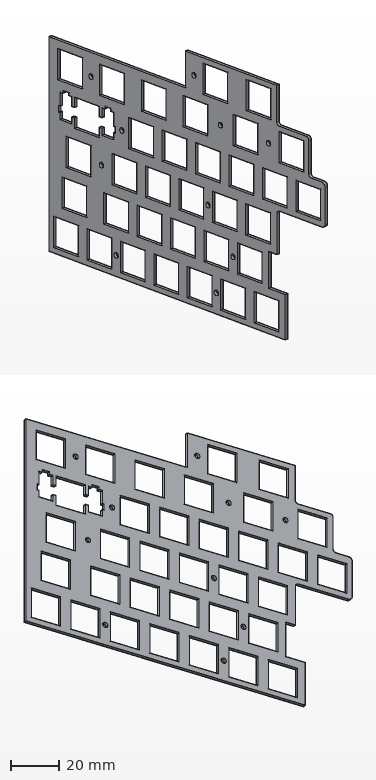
import cadquery as cq

length = 157.5
thickness = 1.5
height = 113.2

key_unit = 19.0
key_opening = 14.0
half_unit = key_unit / 2
side_margin = 0.2
row_heights = [half_unit + row * key_unit for row in range(5)] + [height - half_unit]

row_key_widths = [
    [1] * 7,
    [1.5] + [1] * 5,
    [1.75] + [1] * 5,
    [2.25] + [1] * 6,
    [1.25] * 4 + [1.75, 1],
]
wide_key_row = 3
top_row_keys = [94.8, 119.5]

top_block_left = 77.8
top_block_right = 130.0
shoulder_height = 96.7
fifth_row_right = 148.2
fifth_row_top = 5 * key_unit
fourth_row_top = 77.3
fourth_row_bottom = 57.0
third_row_right = 130.1
second_row_right = 125.4
second_row_top = 37.0
bottom_row_right = 134.8
bottom_row_top = 20.5
step_radius = 1.4
end_radius = 1.9

stabilizer_spacing = 24.0
stabilizer_width = 6.6
stabilizer_top = 6.8
stabilizer_bottom = -5.5
clip_notch_width = 3.3
clip_notch_top = 8.0
side_notch_depth = 0.87
side_notch_top = 0.5
bridge_half_height = 2.4

screw_diameter = 2.4
top_row_screw = 82.7
wide_key_screw = 41.6


def key_centres(widths):
    """X positions of the key centres of a row of keys laid side by side."""
    centres = []
    left = side_margin
    for width in widths:
        centres.append(left + width * half_unit)
        left += width * key_unit
    return centres


def midway(centres, left_key):
    """X position halfway between a key and its right neighbour."""
    return (centres[left_key] + centres[left_key + 1]) / 2


def block(left, right, bottom, top):
    """Box through the full plate thickness."""
    corner = cq.Workplane("XY", origin=(left, 0, bottom))
    return corner.box(right - left, thickness, top - bottom, centered=False)


def make_plate():
    outline = [
        (0, 0),
        (bottom_row_right, 0),
        (bottom_row_right, bottom_row_top),
        (second_row_right, bottom_row_top),
        (second_row_right, second_row_top),
        (third_row_right, second_row_top),
        (third_row_right, fourth_row_bottom),
        (length, fourth_row_bottom),
        (length, fourth_row_top),
        (fifth_row_right, fourth_row_top),
        (fifth_row_right, fifth_row_top),
        (top_block_right, fifth_row_top),
        (top_block_right, height),
        (top_block_left, height),
        (top_block_left, shoulder_height),
        (0, shoulder_height),
    ]
    rounded_corners = [
        (third_row_right, fourth_row_bottom, step_radius),
        (length, fourth_row_bottom, end_radius),
        (length, fourth_row_top, end_radius),
        (fifth_row_right, fourth_row_top, step_radius),
        (fifth_row_right, fifth_row_top, step_radius),
        (top_block_right, fifth_row_top, step_radius),
    ]
    plate = cq.Workplane("XZ").polyline(outline).close().extrude(-thickness)
    for x, z, radius in rounded_corners:
        corner = cq.NearestToPointSelector((x, thickness / 2, z))
        plate = plate.edges("|Y").edges(corner).fillet(radius)
    return plate


def make_stabilizer_opening(x, z):
    """Two stabilizer pockets, mirrored about the key, joined by a bridge slot."""
    outer = stabilizer_spacing / 2 + stabilizer_width / 2
    bridge_bottom = z - bridge_half_height
    bridge_top = z + bridge_half_height
    pocket_bottom = z + stabilizer_bottom
    pocket_top = z + stabilizer_top
    opening = block(x - outer, x + outer, bridge_bottom, bridge_top)
    for side in (-1, 1):
        pocket_x = x + side * stabilizer_spacing / 2
        pocket_left = pocket_x - stabilizer_width / 2
        pocket_right = pocket_x + stabilizer_width / 2
        notch_left = pocket_x - clip_notch_width / 2
        notch_right = pocket_x + clip_notch_width / 2
        opening = opening.union(block(pocket_left, pocket_right, pocket_bottom, pocket_top))
        opening = opening.union(block(notch_left, notch_right, z, z + clip_notch_top))
    notch_reach = outer + side_notch_depth
    return opening.union(block(x - notch_reach, x + notch_reach, bridge_bottom, z + side_notch_top))


rows = [key_centres(widths) for widths in row_key_widths] + [top_row_keys]

key_points = [(x, z) for centres, z in zip(rows, row_heights) for x in centres]

screw_gaps = [(0, 1), (0, 4), (1, 4), (2, 0), (2, 3), (4, 0), (4, 3), (4, 4)]
screw_points = [(midway(rows[row], key), row_heights[row]) for row, key in screw_gaps]
screw_points.append((wide_key_screw, row_heights[wide_key_row]))
screw_points.append((top_row_screw, row_heights[-1]))

key_cutter = cq.Workplane("XZ").pushPoints(key_points).rect(key_opening, key_opening).extrude(-thickness)
screw_cutter = cq.Workplane("XZ").pushPoints(screw_points).circle(screw_diameter / 2).extrude(-thickness)
stabilizer_cutter = make_stabilizer_opening(rows[wide_key_row][0], row_heights[wide_key_row])

result = make_plate().cut(key_cutter).cut(screw_cutter).cut(stabilizer_cutter)